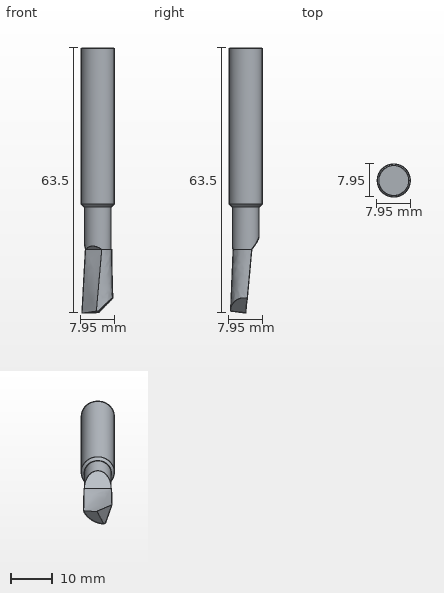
import cadquery as cq
import math

total_length = 63.5
shank_diameter = 7.95
shank_bottom = 26.1
shank_bottom_chamfer = 0.7
shank_top_chamfer_width = 0.4
shank_top_chamfer_height = 0.2
neck_diameter = 6.4

blade_top = 15.25
root_cutting_corner = (-3.0, -1.45)
root_rake_end = (3.0, 1.45)
root_arc_middle = (3.1, -1.3)
root_heel = (0.95, -3.05)
tip_cutting_corner = (-3.8, 0.05)
tip_rake_end = (3.8, 0.05)
tip_arc_middle = (2.65, -2.7)
tip_heel = (-0.4, -3.7)

end_relief_angle = 6.0
corner_cut_start = (0.2, 0.1)
corner_cut_end = (3.8, 3.8)

runout_angle = 48.0
cutter_size = 25.4


def make_shank():
    shank = cq.Workplane("XY").workplane(offset=shank_bottom - shank_bottom_chamfer)
    shank = shank.circle(shank_diameter / 2).extrude(total_length - shank_bottom + shank_bottom_chamfer)
    shank = shank.faces("<Z").chamfer(shank_bottom_chamfer)
    top_edge = shank.faces(">Z").edges()
    return top_edge.chamfer(shank_top_chamfer_height, shank_top_chamfer_width)


def cut_runout(neck, start, end):
    """Slope the neck away from a blade face, on the left of the line from start to end."""
    run_x = end[0] - start[0]
    run_y = end[1] - start[1]
    outward = (-run_y, run_x, 0)
    line_direction = cq.Vector(run_x, run_y, 0)
    slope_plane = cq.Plane(
        origin=(start[0], start[1], blade_top),
        xDir=outward,
        normal=line_direction,
    )
    rise = cutter_size * math.tan(math.radians(runout_angle))
    wedge = (
        cq.Workplane(slope_plane)
        .polyline([(0, 0), (cutter_size, rise), (cutter_size, -cutter_size), (0, -cutter_size)])
        .close()
        .extrude(cutter_size, both=True)
    )
    return neck.cut(wedge)


def make_neck():
    neck = cq.Workplane("XY").workplane(offset=blade_top)
    neck = neck.circle(neck_diameter / 2).extrude(shank_bottom - blade_top)
    neck = cut_runout(neck, root_cutting_corner, root_rake_end)
    return cut_runout(neck, root_heel, root_cutting_corner)


def blade_section(height, cutting_corner, rake_end, arc_middle, heel):
    section = cq.Workplane("XY").workplane(offset=height).moveTo(*cutting_corner)
    section = section.lineTo(*rake_end).threePointArc(arc_middle, heel).close()
    return section.val()


def make_blade():
    tip = blade_section(0, tip_cutting_corner, tip_rake_end, tip_arc_middle, tip_heel)
    root = blade_section(blade_top, root_cutting_corner, root_rake_end, root_arc_middle, root_heel)
    blade = cq.Workplane(cq.Solid.makeLoft([tip, root], True))
    cut_run = corner_cut_end[0] - corner_cut_start[0]
    cut_rise = corner_cut_end[1] - corner_cut_start[1]
    end_cutter = (
        cq.Workplane("XZ")
        .polyline([
            (tip_cutting_corner[0], 0),
            corner_cut_start,
            (corner_cut_start[0] + 2 * cut_run, corner_cut_start[1] + 2 * cut_rise),
            (corner_cut_start[0] + 2 * cut_run, -cutter_size),
            (tip_cutting_corner[0], -cutter_size),
        ])
        .close()
        .extrude(cutter_size, both=True)
        .rotate((0, tip_cutting_corner[1], 0), (1, tip_cutting_corner[1], 0), -end_relief_angle)
    )
    return blade.cut(end_cutter)


result = make_shank().union(make_neck()).union(make_blade())